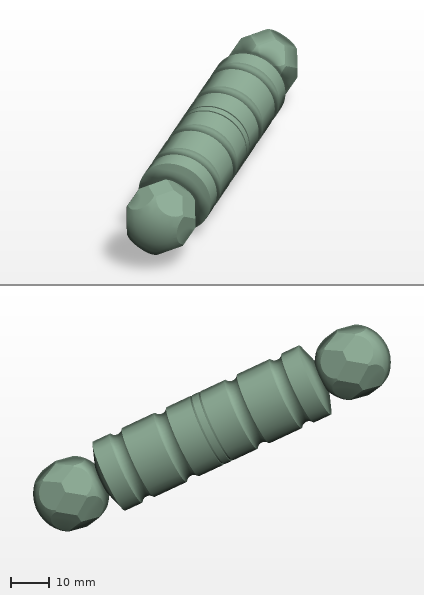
import cadquery as cq
import math

total_length = 102.0
radius = 10.0

facet_half_angle = 26.5
facet_distance = radius * math.cos(math.radians(facet_half_angle))
seat_distance = 9.0
facet_tilt = 20.0
facet_count = 6
facet_pitch = 360.0 / facet_count
ball_center = total_length / 2 - radius

handle_half_length = ball_center - seat_distance
nose_length = 2.0
nose_end_radius = math.sqrt(radius**2 - seat_distance**2)

groove_centers = (10.3, 23.3)
groove_width = 3.6
groove_depth = 1.0

line_center = 1.2
line_width = 0.5
line_depth = 0.5


def facet_cutter(distance, turn, tilt):
    """Block outside a flat whose normal is +X, leaned toward +Y by tilt, then turned about Y."""
    size = 2 * radius
    block = cq.Workplane("XY").box(size, size, size).translate((distance + size / 2, 0, 0))
    block = block.rotate((0, 0, 0), (0, 0, 1), tilt)
    return block.rotate((0, 0, 0), (0, 1, 0), turn)


def make_ball():
    """Faceted ball centred on the origin, with its seat flat facing -Y."""
    ball = cq.Workplane("XY").sphere(radius)
    for index in range(facet_count):
        turn = index * facet_pitch
        ball = ball.cut(facet_cutter(facet_distance, turn, facet_tilt))
        ball = ball.cut(facet_cutter(facet_distance, turn, -facet_tilt))
        ball = ball.cut(facet_cutter(facet_distance, turn + facet_pitch / 2, 0))
    seat_tilt = -90
    return ball.cut(facet_cutter(seat_distance, 0, seat_tilt))


def make_groove_cutter(center):
    """Ring of circular section that leaves a groove of the set width and depth."""
    section_radius = ((groove_width / 2) ** 2 + groove_depth**2) / (2 * groove_depth)
    section_center = radius - groove_depth + section_radius
    section = cq.Workplane("XY").center(section_center, center).circle(section_radius)
    return section.revolve(360, (-section_center, 0, 0), (-section_center, 1, 0))


def make_line_cutter(center):
    """Thin ring that cuts a square-sided line into the handle surface."""
    start = center - line_width / 2
    ring = cq.Workplane("XZ", origin=(0, start, 0)).circle(radius + line_depth).circle(radius - line_depth)
    return ring.extrude(-line_width)


def make_handle():
    """Bar with conical noses, four grip grooves and two fine lines."""
    shoulder = handle_half_length - nose_length
    profile = cq.Workplane("XY").polyline([
        (0, -handle_half_length),
        (nose_end_radius, -handle_half_length),
        (radius, -shoulder),
        (radius, shoulder),
        (nose_end_radius, handle_half_length),
        (0, handle_half_length),
    ]).close()
    handle = profile.revolve(360, (0, 0, 0), (0, 1, 0))
    for side in (-1, 1):
        for center in groove_centers:
            handle = handle.cut(make_groove_cutter(side * center))
        handle = handle.cut(make_line_cutter(side * line_center))
    return handle


handle = make_handle()

balls = []
for turn in (0, 180):
    ball = make_ball().translate((0, ball_center, 0))
    balls.append(ball.rotate((0, 0, 0), (0, 0, 1), turn).val())

result = cq.Compound.makeCompound([handle.val(), *balls])